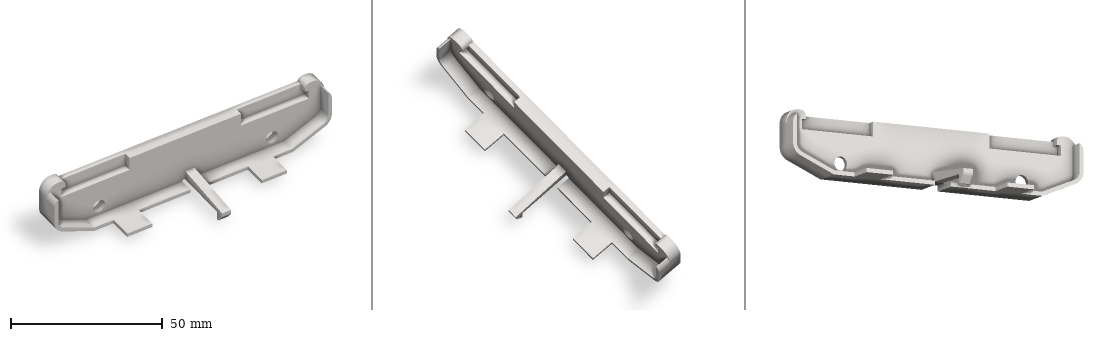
import cadquery as cq
import math

LENGTH = 108.2
HALF = LENGTH / 2
PLATE_T = 4.65
RIM_DEPTH = 9.55
WALL = 1.4

PLATE_TOP = 20.2
EAR_TOP = 21.8
EAR_OUTER_R = 4.5
EAR_INNER_R = 2.0
EAR_FLAT = 0.85
SLANT_RUN = 15.2
SLANT_ANGLE = 23.0
CORNER_R = 4.6

RIM_TOP = 19.0
RIM_TIP_R = 3.5
RIM_TIP_START = 16.4

HOLE_Y = 33.75
HOLE_Z = 5.0
HOLE_D = 4.7
COUNTERBORE_D = 8.0
COUNTERBORE_DEPTH = 3.0

RECESS_X = 2.0
RECESS_INNER_Y = 21.7
RECESS_DEPTH = 5.0
LIP_DROP = 1.5
UNDERCUT = 1.5

TAB_Y = 26.25
TAB_W = 9.8
TAB_END_X = 18.05

HOOK_Y = 1.8
HOOK_W = 3.5
NOTCH_W = 5.9
NOTCH_H = 2.0
HOOK_END_X = 27.2
HOOK_CATCH_X = 24.1
HOOK_TIP_W = 0.6
HOOK_TIP_Z = -2.0
HOOK_NOSE_Z = 0.9
HOOK_NOSE_R = 2.0
ARM_TOP_ROOT_Z = 5.23
ARM_TOP_END_Z = 2.67
ARM_BOTTOM_ROOT_Z = 1.76
ARM_BOTTOM_END_Z = 1.15

OVERLAP = 0.5


def box(x0, x1, y_mid, width, z0, z1):
    """Box from x0 to x1 and z0 to z1, centred on y_mid."""
    size_x = x1 - x0
    size_z = z1 - z0
    return cq.Workplane("XY").box(size_x, width, size_z).translate(
        ((x0 + x1) / 2, y_mid, (z0 + z1) / 2)
    )


def tapered_prism(inset, top, depth):
    """Plate-like body with slanted, rounded lower corners, offset inwards by inset."""
    angle = math.radians(SLANT_ANGLE)
    side = HALF - inset
    flat = HALF - SLANT_RUN - inset * math.tan(angle / 2)
    slant_top = inset + (side - flat) * math.tan(angle)
    outline = [
        (-flat, inset),
        (flat, inset),
        (side, slant_top),
        (side, top),
        (-side, top),
        (-side, slant_top),
    ]
    body = cq.Workplane("YZ").polyline(outline).close().extrude(depth)
    for sign in (-1, 1):
        corner = cq.selectors.NearestToPointSelector((depth / 2, sign * side, slant_top))
        body = body.edges(corner).fillet(CORNER_R - inset)
    return body


def eared_blank():
    """Rectangular blank with the plate's upper outline: two rounded ears and a lower straight edge."""
    outer_y = HALF - EAR_OUTER_R
    inner_y = outer_y - EAR_FLAT
    inner_z = EAR_TOP - EAR_INNER_R
    end_rise = PLATE_TOP - inner_z
    end_y = inner_y - math.sqrt(EAR_INNER_R**2 - end_rise**2)
    diagonal = math.sqrt(0.5)
    outer_mid = (outer_y + EAR_OUTER_R * diagonal, EAR_TOP - EAR_OUTER_R * (1 - diagonal))
    inner_mid = (inner_y - EAR_INNER_R * diagonal, inner_z + EAR_INNER_R * diagonal)
    return (
        cq.Workplane("YZ")
        .moveTo(-HALF, 0)
        .lineTo(HALF, 0)
        .lineTo(HALF, EAR_TOP - EAR_OUTER_R)
        .threePointArc(outer_mid, (outer_y, EAR_TOP))
        .lineTo(inner_y, EAR_TOP)
        .threePointArc(inner_mid, (end_y, PLATE_TOP))
        .lineTo(-end_y, PLATE_TOP)
        .threePointArc((-inner_mid[0], inner_mid[1]), (-inner_y, EAR_TOP))
        .lineTo(-outer_y, EAR_TOP)
        .threePointArc((-outer_mid[0], outer_mid[1]), (-HALF, EAR_TOP - EAR_OUTER_R))
        .close()
        .extrude(PLATE_T)
    )


def make_plate():
    return tapered_prism(0, EAR_TOP, PLATE_T).intersect(eared_blank())


def make_rim():
    """Wall along the ends, slants and bottom; its end walls curve in at the top."""
    full_top = RIM_TIP_START + RIM_TIP_R
    outer = tapered_prism(0, full_top, RIM_DEPTH).edges("|X and >Z").fillet(RIM_TIP_R)
    inner = tapered_prism(WALL, full_top, RIM_DEPTH)
    behind_plate = box(PLATE_T - OVERLAP, RIM_DEPTH, 0, LENGTH, 0, RIM_TOP)
    return outer.cut(inner).intersect(behind_plate)


def make_tab(y_mid):
    return box(RIM_DEPTH - OVERLAP, TAB_END_X, y_mid, TAB_W, 0, WALL)


def make_notch():
    return box(0, RIM_DEPTH, HOOK_Y, NOTCH_W, 0, NOTCH_H)


def make_hook():
    """Tapering arm with a downward barb at its end."""
    profile = [
        (PLATE_T, ARM_BOTTOM_ROOT_Z),
        (PLATE_T - OVERLAP, NOTCH_H),
        (PLATE_T - OVERLAP, ARM_TOP_ROOT_Z),
        (PLATE_T, ARM_TOP_ROOT_Z),
        (HOOK_END_X, ARM_TOP_END_Z),
        (HOOK_END_X, HOOK_NOSE_Z),
        (HOOK_CATCH_X + HOOK_TIP_W, HOOK_TIP_Z),
        (HOOK_CATCH_X, HOOK_TIP_Z),
        (HOOK_CATCH_X, ARM_BOTTOM_END_Z),
    ]
    hook = cq.Workplane("XZ").polyline(profile).close().extrude(HOOK_W / 2, both=True)
    nose = cq.selectors.NearestToPointSelector((HOOK_END_X, 0, HOOK_NOSE_Z))
    return hook.edges(nose).fillet(HOOK_NOSE_R).translate((0, HOOK_Y, 0))


def make_screw_hole(y_mid):
    """Through hole with a counterbore on the outer face."""
    face = cq.Workplane("YZ").center(y_mid, HOLE_Z)
    bore = face.circle(HOLE_D / 2).extrude(PLATE_T)
    counterbore = face.circle(COUNTERBORE_D / 2).extrude(COUNTERBORE_DEPTH)
    return bore.union(counterbore)


def make_recess(sign):
    """Step in the plate's top edge, ending at the ear and undercutting its lip."""
    lip_y = HALF - EAR_OUTER_R - EAR_FLAT - EAR_INNER_R
    width = lip_y - RECESS_INNER_Y
    y_mid = RECESS_INNER_Y + width / 2
    floor_z = PLATE_TOP - RECESS_DEPTH
    step = box(RECESS_X, PLATE_T, sign * y_mid, width, floor_z, PLATE_TOP)
    undercut_y = sign * (y_mid + UNDERCUT / 2)
    undercut = box(RECESS_X, PLATE_T, undercut_y, width + UNDERCUT, floor_z, PLATE_TOP - LIP_DROP)
    return step.union(undercut)


result = make_plate().union(make_rim())
for side_sign in (-1, 1):
    result = result.union(make_tab(side_sign * TAB_Y))
    result = result.cut(make_screw_hole(side_sign * HOLE_Y))
    result = result.cut(make_recess(side_sign))
result = result.cut(make_notch()).union(make_hook())